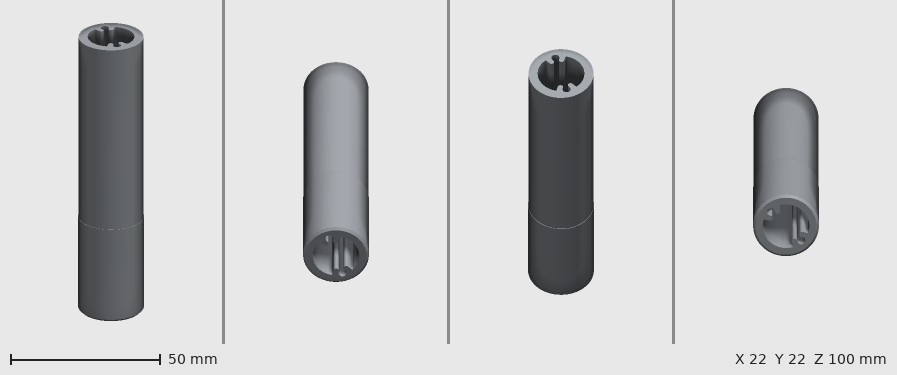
import cadquery as cq
import math

length = 100.0
sleeve_length = 34.0
sleeve_radius = 11.0
tube_diameter = 21.7
bottom_chamfer = 0.8
bore_radius = 7.8

channel_diameter = 2.7
channel_radius = channel_diameter / 2
lip_radius = 0.9
lip_x = 5.8
lip_spacing = 3.5
lip_y = lip_spacing / 2
lip_slope = 30.0
root_fillet = 0.4

center_distance = channel_radius + lip_radius
channel_x = lip_x + math.sqrt(center_distance**2 - lip_y**2)


def lip_point(angle):
    """Point on the upper lip tip, with the angle in degrees from +X."""
    turn = math.radians(angle)
    return (lip_x + lip_radius * math.cos(turn), lip_y + lip_radius * math.sin(turn))


def mirrored(point):
    return (point[0], -point[1])


def make_lug():
    """Pair of lips on the +X side, running back into the wall of the tube."""
    flank = lip_point(90 + lip_slope)
    nose = lip_point(180)
    channel_angle = math.degrees(math.atan2(-lip_y, channel_x - lip_x))
    contact = lip_point(channel_angle)
    root_x = (bore_radius + sleeve_radius) / 2
    root = (root_x, flank[1] + (root_x - flank[0]) * math.tan(math.radians(lip_slope)))
    return (
        cq.Workplane("XY")
        .moveTo(*root)
        .lineTo(*flank)
        .threePointArc(nose, contact)
        .lineTo(*mirrored(contact))
        .threePointArc(mirrored(nose), mirrored(flank))
        .lineTo(*mirrored(root))
        .close()
        .extrude(length)
    )


def make_bore():
    """Space inside the tube: the round bore less the lugs, plus the screw channels."""
    bore = cq.Workplane("XY").circle(bore_radius).extrude(length)
    lug = make_lug()
    bore = bore.cut(lug).cut(lug.mirror("YZ"))
    root_edges = [
        edge
        for edge in bore.edges("|Z").vals()
        if abs(edge.Center().y) > lip_y + lip_radius and abs(edge.Center().x) > lip_x
    ]
    bore = bore.newObject(root_edges).fillet(root_fillet)
    channels = (
        cq.Workplane("XY")
        .pushPoints([(channel_x, 0), (-channel_x, 0)])
        .circle(channel_radius)
        .extrude(length)
    )
    return bore.union(channels)


sleeve = cq.Workplane("XY").circle(sleeve_radius).extrude(sleeve_length)
sleeve = sleeve.faces("<Z").chamfer(bottom_chamfer)
tube = (
    cq.Workplane("XY")
    .workplane(offset=sleeve_length)
    .circle(tube_diameter / 2)
    .extrude(length - sleeve_length)
)

result = sleeve.union(tube).cut(make_bore())